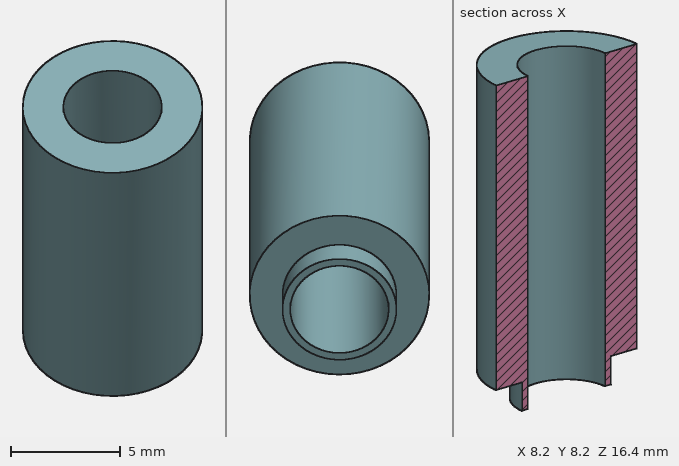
import cadquery as cq

total_length = 16.4
body_diameter = 8.2
spigot_diameter = 5.2
spigot_length = 1.4
bore_diameter = 4.5

body_length = total_length - spigot_length

spigot = cq.Workplane("XY").circle(spigot_diameter / 2).extrude(spigot_length)

spacer = (
    spigot.faces(">Z")
    .workplane()
    .circle(body_diameter / 2)
    .extrude(body_length)
)

bore = cq.Workplane("XY").circle(bore_diameter / 2).extrude(total_length)

result = spacer.cut(bore)